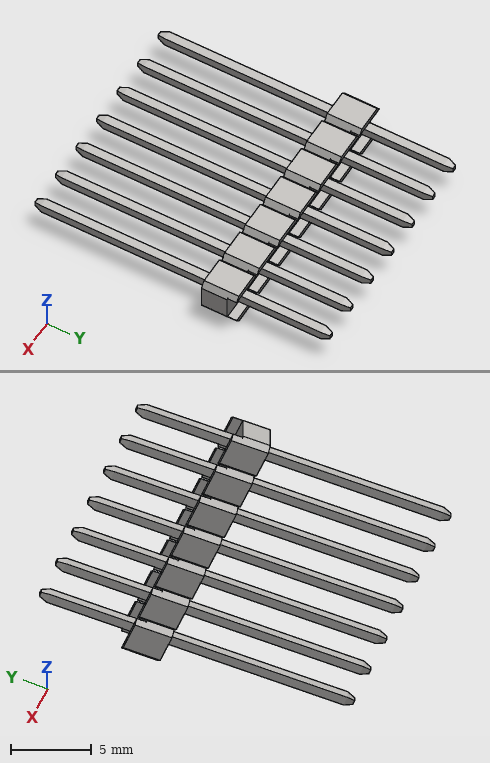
import cadquery as cq

pin_count = 7
pin_length = 21.1

housing_length = 17.79
pitch = housing_length / pin_count
housing_depth = 2.5
housing_height = 2.5
notch_half_width = 0.34
notch_depth = 0.4

lip_thickness = 0.34
slot_depth = 0.65
slot_height = housing_height - 2 * lip_thickness

pin_width = 0.63
tip_width = 0.32
taper_length = 0.55
back_pin_length = 6.01
pin_offset_x = -0.08

housing_back_y = pin_length / 2 - back_pin_length
housing_front_y = housing_back_y - housing_depth


def cell_center_x(index):
    """X position of the middle of a housing cell."""
    return (index - (pin_count - 1) / 2) * pitch


def housing_outline():
    """Points of the row of cells, with V notches between them and bevelled end corners."""
    half_height = housing_height / 2
    shoulder = half_height - notch_depth
    top_points = [(-housing_length / 2, shoulder)]
    for index in range(pin_count):
        center = cell_center_x(index)
        top_points.append((center - pitch / 2 + notch_half_width, half_height))
        top_points.append((center + pitch / 2 - notch_half_width, half_height))
        top_points.append((center + pitch / 2, shoulder))
    bottom_points = [(x, -z) for x, z in reversed(top_points)]
    return top_points + bottom_points


def make_housing():
    """Notched bar with a slot running its whole length along the back."""
    bar = (
        cq.Workplane("XZ", origin=(0, housing_front_y, 0))
        .polyline(housing_outline())
        .close()
        .extrude(-housing_depth)
    )
    slot = cq.Workplane("XY").box(housing_length, slot_depth, slot_height)
    return bar.cut(slot.translate((0, housing_back_y - slot_depth / 2, 0)))


def make_pin():
    """Square pin along Y, centred on the origin, tapered at both ends."""
    straight_length = pin_length - 2 * taper_length
    pin = cq.Workplane("XY").box(pin_width, straight_length, pin_width)
    for face in ("<Y", ">Y"):
        tip = (
            pin.faces(face)
            .workplane(centerOption="CenterOfMass")
            .rect(pin_width, pin_width)
            .workplane(offset=taper_length)
            .rect(tip_width, tip_width)
            .loft(combine=False)
        )
        pin = pin.union(tip)
    return pin


result = make_housing()
pin = make_pin()
for index in range(pin_count):
    result = result.union(pin.translate((cell_center_x(index) + pin_offset_x, 0, 0)))